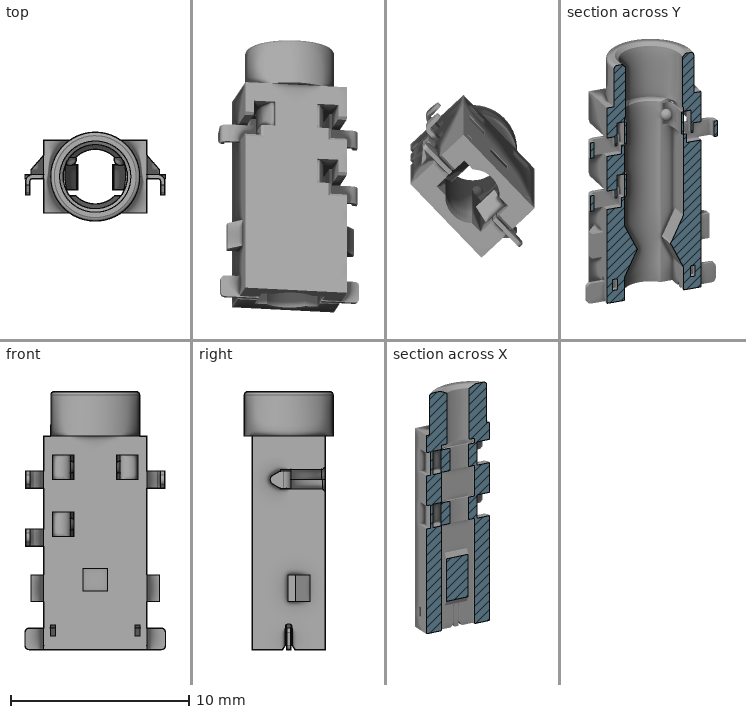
import cadquery as cq

BODY_WIDTH = 5.8
BODY_DEPTH = 4.1
BODY_HEIGHT = 12.0
TOTAL_HEIGHT = 14.5
BARREL_RADIUS = 2.5
BARREL_ROUND = 0.2
HALF_WIDTH = BODY_WIDTH / 2
HALF_DEPTH = BODY_DEPTH / 2

BORE_RADIUS = 1.8
BORE_CHAMFER = 0.2
SHOULDER_Z = 11.2
SHOULDER_DROP = 0.15
SOCKET_RADIUS = 1.53
CHAMBER_DEPTH = 2.14

SHEET = 0.24
TERMINAL_REACH = 3.91
TERMINAL_HEIGHT = 0.98
TERMINAL_BEND = 0.41
TAPER_START_Y = -0.48
TAPER_END_Y = -0.88
TAPER_HALF_HEIGHT = 0.26
TIP_Y = -1.04

CONTACTS = [(-1, 10.25, 9.55), (-1, 7.05, 6.30), (1, 10.25, 9.55)]
WINDOW_OUTER_X = 2.41
WINDOW_INNER_X = 1.20
WINDOW_HEIGHT = 1.38
SLOT_FLOOR_X = 2.0
SLOT_END_Y = -0.45
SLOT_HEIGHT = 1.10
SLOT_RISE = 0.03
SLOT_FLARE = 0.15

SPRING_CREST_X = 1.9
SPRING_RADIUS = WINDOW_OUTER_X - SPRING_CREST_X
SPRING_CREST_Y = -1.86
SPRING_MIDDLE = (1.70, -0.10)
SPRING_END = (1.22, 1.83)
SPRING_THICKNESS = 0.16
DIMPLE_CENTRE = (1.40, 0.96)
DIMPLE_RADIUS = 0.34

LEAF_OUTER_X = 1.9
LEAF_TIP_X = 0.98
LEAF_WIDTH = 1.42
LEAF_CENTRE_Y = -0.04
LEAF_TIP_Z = 3.0
LEAF_RISE = 1.8
LEAF_NOSE = 0.06

LUG_REACH = 3.61
LUG_BOTTOM_Z = 2.70
LUG_TOP_Z = 4.20
LUG_FRONT_Y = -0.03
LUG_EDGE_Y = 0.39
LUG_ROOT_Y = 1.20

PLATE_REACH = 3.95
PLATE_HEIGHT = 1.22
PLATE_ROUND = 0.25
PLATE_INNER_X = 2.2
PLATE_SLOT_WIDTH = 0.38
PLATE_SLOT_HEIGHT = 1.45
PLATE_SLOT_MOUTH = 0.70
PLATE_MOUTH_HEIGHT = 0.25

LATCH_CENTRE_X = 2.38
LATCH_WIDTH = 0.27
LATCH_BOTTOM_Z = 0.76
LATCH_TOP_Z = 1.40
RECESS_WIDTH = 1.36
RECESS_BOTTOM_Z = 3.29
RECESS_TOP_Z = 4.56
RECESS_DEPTH = 0.06


def box(x_range, y_range, z_range):
    """Box between the given limits; each pair may be in either order."""
    limits = (x_range, y_range, z_range)
    sizes = [abs(end - start) for start, end in limits]
    centre = tuple((start + end) / 2 for start, end in limits)
    return cq.Workplane("XY").box(*sizes).translate(centre)


def on_side(shape, side):
    """Shapes are drawn on the +X side; mirror them for the -X side."""
    return shape if side > 0 else shape.mirror("YZ")


def housing():
    block = box((-HALF_WIDTH, HALF_WIDTH), (-HALF_DEPTH, HALF_DEPTH), (0, BODY_HEIGHT))
    barrel = (
        cq.Workplane("XY", origin=(0, 0, BODY_HEIGHT))
        .circle(BARREL_RADIUS)
        .extrude(TOTAL_HEIGHT - BODY_HEIGHT)
        .faces(">Z")
        .edges()
        .fillet(BARREL_ROUND)
    )
    return block.union(barrel)


def bore():
    mouth_radius = BORE_RADIUS + BORE_CHAMFER
    stepped = (
        cq.Workplane("XZ")
        .moveTo(0, 0)
        .lineTo(SOCKET_RADIUS, 0)
        .lineTo(SOCKET_RADIUS, SHOULDER_Z - SHOULDER_DROP)
        .lineTo(BORE_RADIUS, SHOULDER_Z)
        .lineTo(BORE_RADIUS, TOTAL_HEIGHT - BORE_CHAMFER)
        .lineTo(mouth_radius, TOTAL_HEIGHT)
        .lineTo(0, TOTAL_HEIGHT)
        .close()
        .revolve(360, (0, 0, 0), (0, 1, 0))
    )
    half_chamber = CHAMBER_DEPTH / 2
    chamber = box((-BORE_RADIUS, BORE_RADIUS), (-half_chamber, half_chamber), (0, SHOULDER_Z))
    return stepped.union(chamber)


def contact_window(window_z):
    half = WINDOW_HEIGHT / 2
    return box(
        (WINDOW_INNER_X, WINDOW_OUTER_X),
        (-HALF_DEPTH, HALF_DEPTH),
        (window_z - half, window_z + half),
    )


def terminal_slot(terminal_z):
    """Side slot open to the back, with a flared entry that also bevels its floor."""
    centre_z = terminal_z + SLOT_RISE
    half = SLOT_HEIGHT / 2
    flare_y = HALF_DEPTH - SLOT_FLARE
    slot = box(
        (SLOT_FLOOR_X, HALF_WIDTH),
        (SLOT_END_Y, HALF_DEPTH),
        (centre_z - half, centre_z + half),
    )
    depth = HALF_WIDTH - SLOT_FLOOR_X
    mouth_depth = depth + SLOT_FLARE
    mouth_height = SLOT_HEIGHT + 2 * SLOT_FLARE
    entry = (
        cq.Workplane("XZ", origin=(HALF_WIDTH, flare_y, centre_z))
        .center(-depth / 2, 0)
        .rect(depth, SLOT_HEIGHT)
        .workplane(offset=-SLOT_FLARE)
        .center((depth - mouth_depth) / 2, 0)
        .rect(mouth_depth, mouth_height)
        .loft(ruled=True)
    )
    return slot.union(entry)


def terminal(terminal_z):
    """Strip leaving the housing sideways, bent forward and tapered to a rounded tip."""
    half_sheet = SHEET / 2
    half = TERMINAL_HEIGHT / 2
    inner_bend = TERMINAL_BEND - SHEET
    strip = (
        cq.Workplane("XY", origin=(0, 0, terminal_z - half))
        .moveTo(SLOT_FLOOR_X, half_sheet)
        .lineTo(TERMINAL_REACH - TERMINAL_BEND, half_sheet)
        .radiusArc((TERMINAL_REACH, half_sheet - TERMINAL_BEND), TERMINAL_BEND)
        .lineTo(TERMINAL_REACH, TIP_Y)
        .lineTo(TERMINAL_REACH - SHEET, TIP_Y)
        .lineTo(TERMINAL_REACH - SHEET, -half_sheet - inner_bend)
        .radiusArc((TERMINAL_REACH - SHEET - inner_bend, -half_sheet), -inner_bend)
        .lineTo(SLOT_FLOOR_X, -half_sheet)
        .close()
        .extrude(TERMINAL_HEIGHT)
    )
    side_outline = (
        cq.Workplane("YZ", origin=(0, 0, terminal_z))
        .moveTo(half_sheet, -half)
        .lineTo(TAPER_START_Y, -half)
        .lineTo(TAPER_END_Y, -TAPER_HALF_HEIGHT)
        .threePointArc((TIP_Y, 0), (TAPER_END_Y, TAPER_HALF_HEIGHT))
        .lineTo(TAPER_START_Y, half)
        .lineTo(half_sheet, half)
        .close()
        .extrude(TERMINAL_REACH)
    )
    return strip.intersect(side_outline)


def contact_spring(window_z):
    """Strip filling the window height, folded over behind the front wall, with a dimple facing the plug."""
    bend_y = SPRING_CREST_Y + SPRING_RADIUS
    inner_radius = SPRING_RADIUS - SPRING_THICKNESS
    inner_crest_y = SPRING_CREST_Y + SPRING_THICKNESS
    middle_x, middle_y = SPRING_MIDDLE
    end_x, end_y = SPRING_END
    strip = (
        cq.Workplane("XY", origin=(0, 0, window_z - WINDOW_HEIGHT / 2))
        .moveTo(WINDOW_OUTER_X, SHEET / 2)
        .lineTo(WINDOW_OUTER_X, bend_y)
        .radiusArc((SPRING_CREST_X, SPRING_CREST_Y), SPRING_RADIUS)
        .radiusArc((SPRING_CREST_X - SPRING_RADIUS, bend_y), SPRING_RADIUS)
        .threePointArc((middle_x, middle_y), (end_x, end_y))
        .lineTo(end_x + SPRING_THICKNESS, end_y)
        .threePointArc(
            (middle_x + SPRING_THICKNESS, middle_y),
            (SPRING_CREST_X - inner_radius, bend_y),
        )
        .radiusArc((SPRING_CREST_X, inner_crest_y), -inner_radius)
        .radiusArc((SPRING_CREST_X + inner_radius, bend_y), -inner_radius)
        .lineTo(SPRING_CREST_X + inner_radius, SHEET / 2)
        .close()
        .extrude(WINDOW_HEIGHT)
    )
    dimple = cq.Workplane("XY").sphere(DIMPLE_RADIUS).translate((*DIMPLE_CENTRE, window_z))
    return strip.union(dimple)


def contact_leaf():
    return (
        cq.Workplane("XZ", origin=(0, LEAF_CENTRE_Y, 0))
        .polyline([
            (LEAF_OUTER_X, LEAF_TIP_Z - LEAF_RISE),
            (LEAF_TIP_X + LEAF_NOSE, LEAF_TIP_Z - LEAF_NOSE),
            (LEAF_TIP_X, LEAF_TIP_Z),
            (LEAF_TIP_X + LEAF_NOSE, LEAF_TIP_Z + LEAF_NOSE),
            (LEAF_OUTER_X, LEAF_TIP_Z + LEAF_RISE),
        ])
        .close()
        .extrude(LEAF_WIDTH / 2, both=True)
    )


def side_lug():
    return (
        cq.Workplane("XY", origin=(0, 0, LUG_BOTTOM_Z))
        .polyline([
            (HALF_WIDTH, LUG_FRONT_Y),
            (LUG_REACH, LUG_FRONT_Y),
            (LUG_REACH, LUG_EDGE_Y),
            (HALF_WIDTH, LUG_ROOT_Y),
        ])
        .close()
        .extrude(LUG_TOP_Z - LUG_BOTTOM_Z)
    )


def plate_slot():
    """Round-topped slot through the side wall, flared at the foot."""
    half = PLATE_SLOT_WIDTH / 2
    half_mouth = PLATE_SLOT_MOUTH / 2
    shoulder_z = PLATE_SLOT_HEIGHT - half
    return (
        cq.Workplane("YZ")
        .moveTo(-half_mouth, 0)
        .lineTo(-half, PLATE_MOUTH_HEIGHT)
        .lineTo(-half, shoulder_z)
        .threePointArc((0, PLATE_SLOT_HEIGHT), (half, shoulder_z))
        .lineTo(half, PLATE_MOUTH_HEIGHT)
        .lineTo(half_mouth, 0)
        .close()
        .extrude(HALF_WIDTH)
    )


def mounting_plate():
    """Foot plate with rounded outer corners and a stem set into the top of its slot."""
    plate = box((BORE_RADIUS, PLATE_REACH), (-SHEET / 2, SHEET / 2), (0, PLATE_HEIGHT))
    plate = plate.faces(">X").edges("|Y").fillet(PLATE_ROUND)
    stem = box((BORE_RADIUS, PLATE_INNER_X), (-SHEET / 2, SHEET / 2), (0, PLATE_SLOT_HEIGHT))
    return plate.union(stem)


def latch_opening():
    half = LATCH_WIDTH / 2
    return box(
        (LATCH_CENTRE_X - half, LATCH_CENTRE_X + half),
        (-HALF_DEPTH, -SHEET / 2),
        (LATCH_BOTTOM_Z, LATCH_TOP_Z),
    )


def front_recess():
    half = RECESS_WIDTH / 2
    return box(
        (-half, half),
        (-HALF_DEPTH, -HALF_DEPTH + RECESS_DEPTH),
        (RECESS_BOTTOM_Z, RECESS_TOP_Z),
    )


def build():
    part = housing().cut(bore()).cut(front_recess())
    for side, window_z, terminal_z in CONTACTS:
        part = part.cut(on_side(contact_window(window_z), side))
        part = part.cut(on_side(terminal_slot(terminal_z), side))
    for side in (-1, 1):
        part = part.cut(on_side(plate_slot(), side))
        part = part.cut(on_side(latch_opening(), side))
        part = part.union(on_side(mounting_plate(), side))
        part = part.union(on_side(side_lug(), side))
        part = part.union(on_side(contact_leaf(), side))
    for side, window_z, terminal_z in CONTACTS:
        part = part.union(on_side(contact_spring(window_z), side))
        part = part.union(on_side(terminal(terminal_z), side))
    return part


result = build()